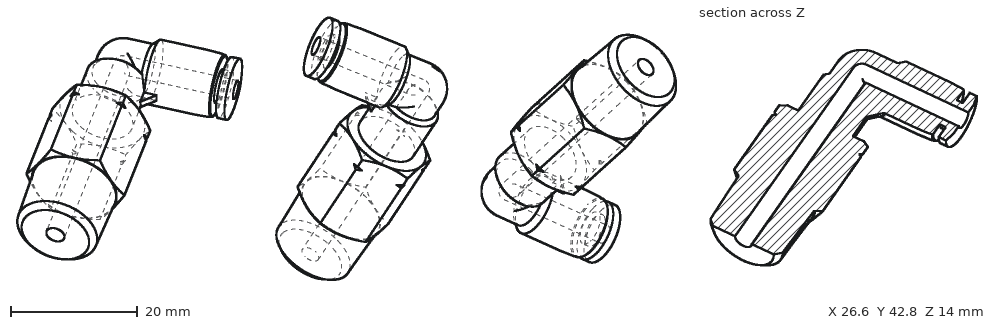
import cadquery as cq
import math


elbow_radius = 4.28
bore_radius = 1.5

stem_radius = 5.0
stem_shoulder_start = 2.82
stem_shoulder_end = 3.45
hex_start = 11.45
hex_length = 15.6
hex_end = hex_start + hex_length
thread_chamfer_start = 36.55
stem_end = 37.55
thread_large_radius = 6.9
thread_small_radius = 6.6
thread_tip_radius = 5.55

across_flats = 14.0
flat_radius = across_flats / 2
corner_radius = flat_radius / math.cos(math.radians(30))
hex_chamfer_length = (corner_radius - flat_radius) * math.tan(math.radians(30))
notch_offset = 2.52
notch_depth = 0.43
notch_half_width = 0.3

arm_radius = 5.2
arm_shoulder_start = 4.0
arm_shoulder_end = 5.05
arm_taper_start = 12.8
arm_taper_end = 14.88
arm_rim_start = 15.6
arm_end = 15.77
arm_taper_radius = 5.15
arm_rim_radius = 5.05
arm_end_radius = 4.87
release_neck_radius = 2.75
collar_start = 16.75
collar_rim = 18.13
collar_end = 18.5
collar_radius = 4.95
collar_face_radius = 3.2

web_reach = 12.23
web_thickness = 1.3


def revolve_stem(profile):
    """Revolve (radius, distance) points about the stem axis."""
    points = [(radius, -distance) for radius, distance in profile]
    return cq.Workplane("XY").polyline(points).close().revolve(360, (0, 0), (0, 1))


def revolve_arm(profile):
    """Revolve (distance, radius) points about the arm axis."""
    return cq.Workplane("XY").polyline(profile).close().revolve(360, (0, 0), (1, 0))


def make_stem():
    return revolve_stem([
        (0, 0),
        (elbow_radius, 0),
        (elbow_radius, stem_shoulder_start),
        (stem_radius, stem_shoulder_end),
        (stem_radius, hex_end),
        (thread_large_radius, hex_end),
        (thread_small_radius, thread_chamfer_start),
        (thread_tip_radius, stem_end),
        (0, stem_end),
    ])


def make_hexagon():
    prism = (
        cq.Workplane("XZ", origin=(0, -hex_start, 0))
        .polygon(6, 2 * corner_radius)
        .extrude(hex_length)
    )
    notch_center = hex_start + notch_offset
    envelope = revolve_stem([
        (0, hex_start),
        (flat_radius, hex_start),
        (corner_radius, hex_start + hex_chamfer_length),
        (corner_radius, notch_center - notch_half_width),
        (corner_radius - notch_depth, notch_center),
        (corner_radius, notch_center + notch_half_width),
        (corner_radius, hex_end - hex_chamfer_length),
        (flat_radius, hex_end),
        (0, hex_end),
    ])
    return prism.intersect(envelope)


def make_arm():
    return revolve_arm([
        (0, 0),
        (0, elbow_radius),
        (arm_shoulder_start, elbow_radius),
        (arm_shoulder_end, arm_radius),
        (arm_taper_start, arm_radius),
        (arm_taper_end, arm_taper_radius),
        (arm_rim_start, arm_rim_radius),
        (arm_end, arm_end_radius),
        (arm_end, release_neck_radius),
        (collar_start, release_neck_radius),
        (collar_start, collar_radius),
        (collar_rim, collar_radius),
        (collar_end, collar_face_radius),
        (collar_end, 0),
    ])


def make_web():
    return (
        cq.Workplane("XY")
        .polyline([(0, 0), (web_reach, 0), (0, -web_reach)])
        .close()
        .extrude(web_thickness / 2, both=True)
    )


def make_bore():
    """Angled bore with a spherical corner, open at both ends."""
    stem_bore = cq.Workplane("XZ").circle(bore_radius).extrude(stem_end)
    arm_bore = cq.Workplane("YZ").circle(bore_radius).extrude(collar_end)
    return stem_bore.union(arm_bore).union(cq.Workplane("XY").sphere(bore_radius))


elbow = cq.Workplane("XY").sphere(elbow_radius)
body = make_stem().union(make_arm()).union(elbow).union(make_hexagon()).union(make_web())
result = body.cut(make_bore())